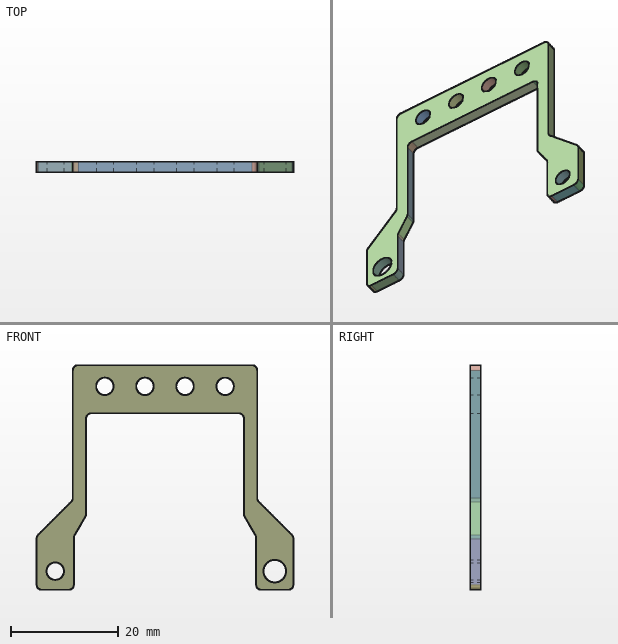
import cadquery as cq

overall_width = 48.0
overall_height = 42.0
thickness = 2.0
corner_radius = 1.0

frame_width = 34.45
window_width = 29.45
bar_height = 9.0

foot_width = 7.0
foot_height = 10.0
inner_bend_rise = 3.9

small_hole_diameter = 3.2
large_hole_diameter = 4.2
bar_hole_count = 4
bar_hole_pitch = 7.5
bar_hole_drop = 4.0
foot_hole_height = foot_width / 2

foot_outer = overall_width / 2
foot_inner = foot_outer - foot_width
arm_outer = frame_width / 2
arm_inner = window_width / 2

outer_bend_top = foot_height + foot_outer - arm_outer
inner_bend_top = foot_height + inner_bend_rise
window_top = overall_height - bar_height


def back_plane():
    """Workplane on the back face, whose extrusions run toward -Y through the plate."""
    return cq.Workplane("XZ", origin=(0, thickness / 2, 0))


def drill(plate, positions, diameter):
    """Cut through holes at (x, z) positions in a plate centred on Y = 0."""
    cutters = (
        back_plane()
        .pushPoints(positions)
        .circle(diameter / 2)
        .extrude(thickness)
    )
    return plate.cut(cutters)


right_half = [
    (arm_outer, overall_height),
    (arm_outer, outer_bend_top),
    (foot_outer, foot_height),
    (foot_outer, 0),
    (foot_inner, 0),
    (foot_inner, foot_height),
    (arm_inner, inner_bend_top),
    (arm_inner, window_top),
]
left_half = [(-x, z) for x, z in reversed(right_half)]

bracket = (
    back_plane()
    .polyline(right_half + left_half)
    .close()
    .extrude(thickness)
    .edges("|Y")
    .fillet(corner_radius)
)

first_hole_x = -bar_hole_pitch * (bar_hole_count - 1) / 2
bar_hole_z = overall_height - bar_hole_drop
bar_holes = [(first_hole_x + i * bar_hole_pitch, bar_hole_z) for i in range(bar_hole_count)]
bracket = drill(bracket, bar_holes, small_hole_diameter)

foot_hole_x = foot_outer - foot_width / 2
bracket = drill(bracket, [(-foot_hole_x, foot_hole_height)], small_hole_diameter)
bracket = drill(bracket, [(foot_hole_x, foot_hole_height)], large_hole_diameter)

result = bracket